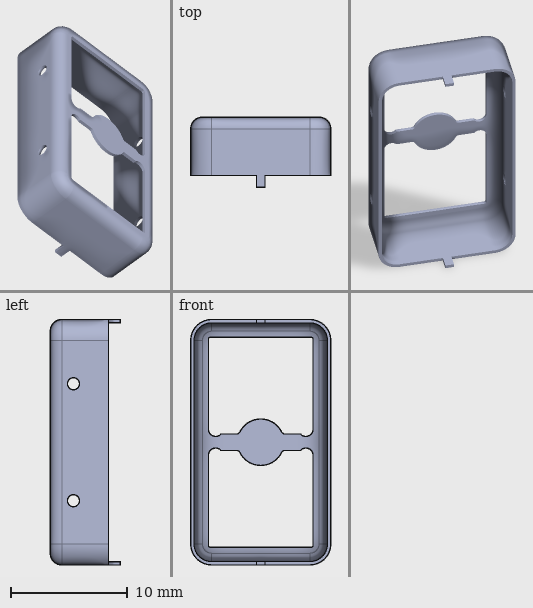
import cadquery as cq

WIDTH = 12.0
HEIGHT = 21.0
DEPTH = 5.0
WALL = 0.3
CORNER_RADIUS = 1.8
BACK_RADIUS = 1.0

WINDOW_MARGIN = 1.53
WINDOW_WIDTH = WIDTH - 2 * WINDOW_MARGIN
WINDOW_HEIGHT = HEIGHT - 2 * WINDOW_MARGIN
WINDOW_CORNER_RADIUS = 0.15

BAR_HEIGHT = 1.43
DISC_RADIUS = 2.0
DISC_BLEND_RADIUS = 0.3
RELIEF_RADIUS = 0.6
RELIEF_GAP = 1.0

HOLE_DIAMETER = 1.0
HOLE_SPACING = 10.0
HOLE_FROM_BACK = 2.0
TAB_WIDTH = 0.75
TAB_LENGTH = 1.0


def block(width, depth, height):
    """Box centred on X and Z, reaching from Y = 0 toward +Y."""
    return cq.Workplane("XY").box(width, depth, height, centered=(True, False, True))


def rounded_block(width, depth, height, corner_radius, back_radius):
    """Block with rounded corners and a rounded back rim."""
    body = block(width, depth, height).edges("|Y").fillet(corner_radius)
    return body.faces(">Y").edges().fillet(back_radius)


def make_tray():
    outer = rounded_block(WIDTH, DEPTH, HEIGHT, CORNER_RADIUS, BACK_RADIUS)
    cavity = rounded_block(
        WIDTH - 2 * WALL,
        DEPTH - WALL,
        HEIGHT - 2 * WALL,
        CORNER_RADIUS - WALL,
        BACK_RADIUS - WALL,
    )
    return outer.cut(cavity)


def make_window():
    window = block(WINDOW_WIDTH, DEPTH, WINDOW_HEIGHT)
    return window.edges("|Y").fillet(WINDOW_CORNER_RADIUS)


def make_crossbar():
    floor_y = DEPTH - WALL
    bar = block(WINDOW_WIDTH, WALL, BAR_HEIGHT)
    disc = cq.Workplane("XZ").circle(DISC_RADIUS).extrude(-WALL)
    junctions = cq.selectors.BoxSelector(
        (-DISC_RADIUS, -WALL, -BAR_HEIGHT),
        (DISC_RADIUS, 2 * WALL, BAR_HEIGHT),
    )
    crossbar = bar.union(disc).edges("|Y").edges(junctions).fillet(DISC_BLEND_RADIUS)

    relief_x = WINDOW_WIDTH / 2 - RELIEF_RADIUS
    relief_z = RELIEF_GAP / 2 + RELIEF_RADIUS
    reliefs = (
        cq.Workplane("XZ")
        .rect(2 * relief_x, 2 * relief_z, forConstruction=True)
        .vertices()
        .circle(RELIEF_RADIUS)
        .extrude(-WALL)
    )
    end_height = 2 * relief_z
    for side in (-1, 1):
        shoulder_x = side * (WINDOW_WIDTH - RELIEF_RADIUS) / 2
        shoulder = block(RELIEF_RADIUS, WALL, end_height).translate((shoulder_x, 0, 0))
        crossbar = crossbar.union(shoulder)
    return crossbar.cut(reliefs).translate((0, floor_y, 0))


def make_side_holes():
    return (
        cq.Workplane("YZ")
        .pushPoints([(DEPTH - HOLE_FROM_BACK, side * HOLE_SPACING / 2) for side in (-1, 1)])
        .circle(HOLE_DIAMETER / 2)
        .extrude(WIDTH, both=True)
    )


def make_tab(side):
    """Tab that continues the end wall past the open rim; it overlaps the wall by one thickness."""
    tab = block(TAB_WIDTH, TAB_LENGTH + WALL, WALL)
    return tab.translate((0, -TAB_LENGTH, side * (HEIGHT - WALL) / 2))


result = make_tray().cut(make_window()).union(make_crossbar()).cut(make_side_holes())
for end in (-1, 1):
    result = result.union(make_tab(end))